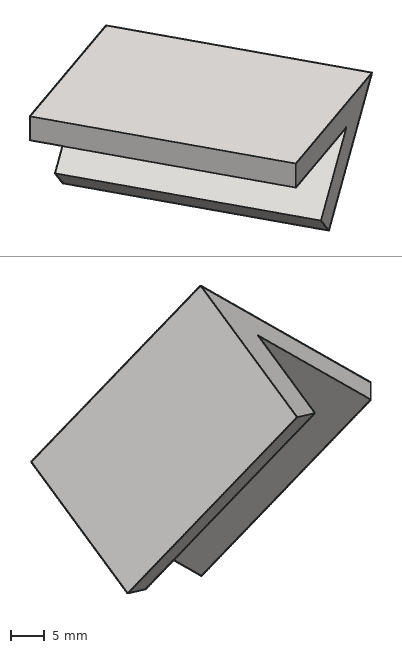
import cadquery as cq
import math

width = 42.0
plate_depth = 31.2
plate_thickness = 4.0
drop = 17.7
leg_thickness = 4.6
leg_angle = math.radians(45.0)

sharp_y = plate_depth / 2
front_y = -plate_depth / 2
leg_run = drop / math.tan(leg_angle)
tip_y = sharp_y - leg_run

inner_tip_y = tip_y - leg_thickness * math.sin(leg_angle)
inner_tip_z = -drop + leg_thickness * math.cos(leg_angle)

inner_rise = -plate_thickness - inner_tip_z
inner_corner_y = inner_tip_y + inner_rise / math.tan(leg_angle)

profile = [
    (sharp_y, 0),
    (front_y, 0),
    (front_y, -plate_thickness),
    (inner_corner_y, -plate_thickness),
    (inner_tip_y, inner_tip_z),
    (tip_y, -drop),
]

result = (
    cq.Workplane("YZ")
    .polyline(profile)
    .close()
    .extrude(width / 2, both=True)
)